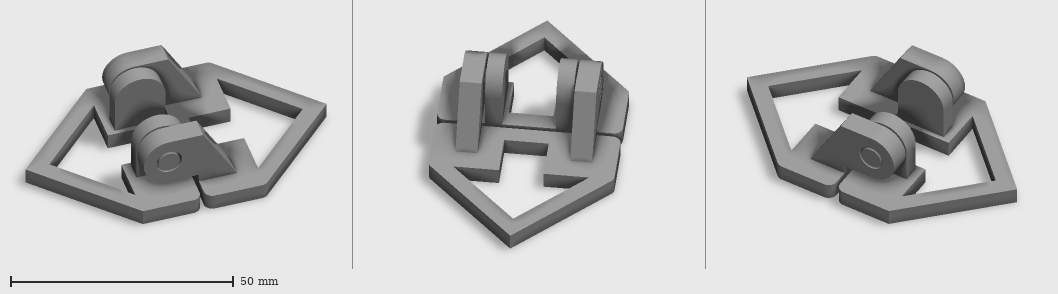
import cadquery as cq
import math

hinge_length = 71.0
leaf_width = 42.0
leaf_thickness = 4.0
leaf_gap = 1.0
corner_radius = 2.0
rim_width = 4.0
neck_wall_width = 4.05
window_neck_width = 10.1

knuckle_diameter = 12.0
pivot_z = 12.0
pin_diameter = 5.0
pin_hole_diameter = 6.0
arm_outer_x = 15.5
arm_width = 5.0
lug_width = 3.9
side_clearance = 0.5
arm_foot_y = 9.5
arm_top_back_y = 1.5

leaf_half_width = leaf_width / 2
knuckle_radius = knuckle_diameter / 2
leaf_edge_y = leaf_gap / 2
tip_y = hinge_length / 2
shoulder_y = tip_y - leaf_half_width
window_tip_y = tip_y - rim_width * math.sqrt(2)
window_half_width = window_tip_y - shoulder_y
neck_half_width = window_neck_width / 2
neck_y = leaf_edge_y + neck_wall_width

pivot_y = -(leaf_edge_y + knuckle_radius)
knuckle_front_y = pivot_y - knuckle_radius
knuckle_top_z = pivot_z + knuckle_radius
knuckle_bottom_z = pivot_z - knuckle_radius

arm_inner_x = arm_outer_x - arm_width
lug_outer_x = arm_inner_x - side_clearance
lug_inner_x = lug_outer_x - lug_width

mirror_sides = (-1, 1)


def extrude_between(profile, x_start, x_end):
    """Extrude a closed YZ profile between two X positions."""
    return profile.extrude(x_end - x_start).translate((x_start, 0, 0))


def pivot_cylinder(diameter, x_start, x_end):
    """Round bar along the pivot axis."""
    circle = cq.Workplane("YZ").center(pivot_y, pivot_z).circle(diameter / 2)
    return extrude_between(circle, x_start, x_end)


def leaf_plate(direction):
    """Pointed plate with an arrow-shaped window; direction is the sign of Y it points to."""
    outline = [
        (-leaf_half_width, direction * leaf_edge_y),
        (leaf_half_width, direction * leaf_edge_y),
        (leaf_half_width, direction * shoulder_y),
        (0, direction * tip_y),
        (-leaf_half_width, direction * shoulder_y),
    ]
    window = [
        (-neck_half_width, direction * neck_y),
        (neck_half_width, direction * neck_y),
        (neck_half_width, direction * shoulder_y),
        (window_half_width, direction * shoulder_y),
        (0, direction * window_tip_y),
        (-window_half_width, direction * shoulder_y),
        (-neck_half_width, direction * shoulder_y),
    ]
    plate = cq.Workplane("XY").polyline(outline).close().extrude(leaf_thickness)
    hinge_edge = "<Y" if direction > 0 else ">Y"
    plate = plate.faces(hinge_edge).edges("|Z").fillet(corner_radius)
    return plate.cut(cq.Workplane("XY").polyline(window).close().extrude(leaf_thickness))


def round_shoulders(plate, y):
    """Round the two outer corners where the pointed end begins, at the given Y."""
    for side in mirror_sides:
        corner = cq.selectors.NearestToPointSelector((side * leaf_half_width, y, leaf_thickness / 2))
        plate = plate.edges("|Z").edges(corner).fillet(corner_radius)
    return plate


def arm():
    """Sloped arm on the +X side that reaches over the front leaf, with its pin hole."""
    profile = (
        cq.Workplane("YZ")
        .moveTo(leaf_edge_y, leaf_thickness)
        .lineTo(arm_foot_y, leaf_thickness)
        .lineTo(arm_top_back_y, knuckle_top_z)
        .lineTo(pivot_y, knuckle_top_z)
        .threePointArc((knuckle_front_y, pivot_z), (pivot_y, knuckle_bottom_z))
        .lineTo(leaf_edge_y, knuckle_bottom_z)
        .close()
    )
    solid_arm = extrude_between(profile, arm_inner_x, arm_outer_x)
    return solid_arm.cut(pivot_cylinder(pin_hole_diameter, arm_inner_x, arm_outer_x))


def lug_with_pin():
    """Round-topped lug on the +X side; its pin ends flush with the arm's outer face."""
    profile = (
        cq.Workplane("YZ")
        .moveTo(-leaf_edge_y, leaf_thickness)
        .lineTo(-leaf_edge_y, pivot_z)
        .threePointArc((pivot_y, knuckle_top_z), (knuckle_front_y, pivot_z))
        .lineTo(knuckle_front_y, leaf_thickness)
        .close()
    )
    lug = extrude_between(profile, lug_inner_x, lug_outer_x)
    return lug.union(pivot_cylinder(pin_diameter, lug_outer_x, arm_outer_x))


def add_on_both_sides(plate, feature):
    """Join a +X side feature and its mirror image to a plate."""
    for side in mirror_sides:
        plate = plate.union(feature if side > 0 else feature.mirror("YZ"))
    return plate


back_plate = round_shoulders(leaf_plate(1), shoulder_y)
arm_leaf = add_on_both_sides(back_plate, arm())

pin_leaf = add_on_both_sides(leaf_plate(-1), lug_with_pin())

result = cq.Compound.makeCompound([arm_leaf.val(), pin_leaf.val()])